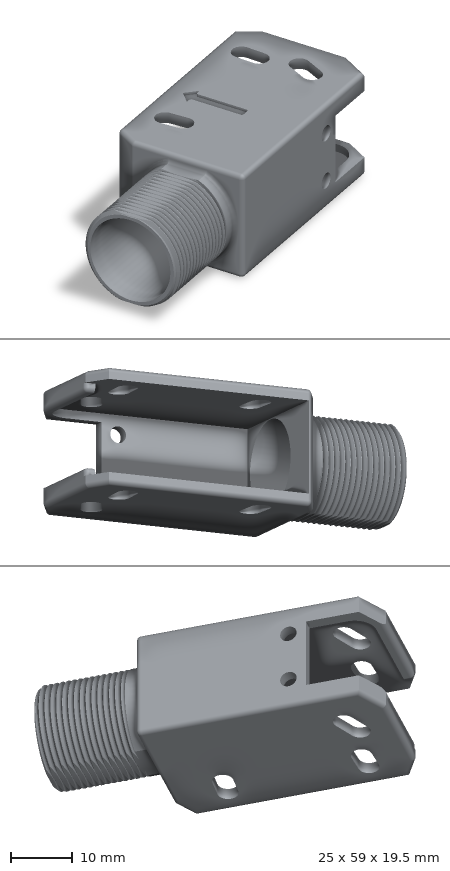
import cadquery as cq
import math


HOUSING_WIDTH = 25.0
HOUSING_LENGTH = 41.0
HOUSING_HEIGHT = 19.5
PLATE_THICKNESS = 2.0
BACK_WALL = 2.0
END_WALL = 1.8
FRONT_WALL = 2.7
EDGE_RADIUS = 0.8
LIP_INSET = 0.1
LIP_RADIUS = 0.75
INNER_CORNER_RADIUS = 3.7
BORE_TO_OPEN_SIDE = 14.5

CORNER_SLOPE = math.tan(math.radians(30))
OPEN_CORNER_WIDTH = 4.0
BACK_CORNER_WIDTH = 5.2

X_OPEN = -BORE_TO_OPEN_SIDE
X_BACK = X_OPEN + HOUSING_WIDTH
X_CORNER = X_OPEN + OPEN_CORNER_WIDTH
X_LIP_START = X_CORNER + LIP_INSET
HALF_HEIGHT = HOUSING_HEIGHT / 2
INNER_HEIGHT = HOUSING_HEIGHT - 2 * PLATE_THICKNESS

NOTCH_HEIGHT = 12.6
NOTCH_DEPTH = 12.0

SCREW_HOLE_DIAMETER = 2.8
SCREW_HOLE_SPACING = 9.0
SCREW_HOLE_Y = HOUSING_LENGTH - 15.0

SLOT_WIDTH = 3.5
SLOTS = [
    ((4.6, 33.2), (8.0, 33.05)),
    ((14.55, 34.9), (18.0, 33.2)),
    ((4.6, 9.2), (8.0, 9.4)),
]

ARROW_TIP_X = X_OPEN + 3.05
ARROW_Y = 17.35
ARROW_LENGTH = 11.9
ARROW_HEAD = 2.0
ARROW_SHAFT_HALF_WIDTH = 0.93
ARROW_CORNER_RADIUS = 0.35
ARROW_DEPTH = 0.5

STEM_LENGTH = 18.0
STEM_DIAMETER = 17.7
STEM_FLAT_WIDTH = 16.25
STEM_ROOT_RADIUS = 0.65
TIP_CHAMFER = 0.6
BORE_DIAMETER = 15.2
NECK_LENGTH = 2.4
THREAD_PITCH = 1.0
THREAD_DEPTH = 0.85
CREST_WIDTH = 0.1

OVERRUN = 1.0
SELECTION_MARGIN = 0.1
CREST_CLEARANCE = 0.01


def make_housing_block():
    """Solid housing with sloped corners; the outer edges are rounded."""
    open_rise = OPEN_CORNER_WIDTH * CORNER_SLOPE
    back_rise = BACK_CORNER_WIDTH * CORNER_SLOPE
    outline = [
        (X_CORNER, 0),
        (X_BACK, 0),
        (X_BACK, HOUSING_LENGTH - back_rise),
        (X_BACK - BACK_CORNER_WIDTH, HOUSING_LENGTH),
        (X_CORNER, HOUSING_LENGTH),
        (X_OPEN, HOUSING_LENGTH - open_rise),
        (X_OPEN, open_rise),
    ]
    block = (
        cq.Workplane("XY", origin=(0, 0, -HALF_HEIGHT))
        .polyline(outline)
        .close()
        .extrude(HOUSING_HEIGHT)
    )
    front_corners = cq.selectors.BoxSelector(
        (X_OPEN - OVERRUN, -OVERRUN, -HALF_HEIGHT),
        (X_BACK + OVERRUN, open_rise + OVERRUN, HALF_HEIGHT),
    )
    block = block.edges("|Z").edges(front_corners).fillet(EDGE_RADIUS)
    return block.faces("<Z or >Z").edges().fillet(EDGE_RADIUS)


def cut_channel(body):
    """Hollow between the plates, leaving front, back and end walls."""
    x_inner = X_BACK - BACK_WALL
    y_inner = HOUSING_LENGTH - END_WALL
    hollow = (
        cq.Workplane("XY", origin=(0, 0, -INNER_HEIGHT / 2))
        .moveTo(X_OPEN - OVERRUN, FRONT_WALL)
        .lineTo(x_inner, FRONT_WALL)
        .lineTo(x_inner, y_inner)
        .lineTo(X_LIP_START, y_inner)
        .lineTo(X_LIP_START, HOUSING_LENGTH + OVERRUN)
        .lineTo(X_OPEN - OVERRUN, HOUSING_LENGTH + OVERRUN)
        .close()
        .extrude(INNER_HEIGHT)
    )
    corner = cq.selectors.NearestToPointSelector((x_inner, y_inner, 0))
    return body.cut(hollow.edges(corner).fillet(INNER_CORNER_RADIUS))


def cut_notch(body):
    """Rectangular notch through the end wall that continues into the back wall."""
    notch = cq.Workplane("XY").box(2 * HOUSING_WIDTH, 2 * NOTCH_DEPTH, NOTCH_HEIGHT)
    return body.cut(notch.translate((X_BACK, HOUSING_LENGTH, 0)))


def round_lips(body):
    """Round the outer, end and corner edges of the two lips left on the end wall by the notch."""
    lip_middle_x = (X_LIP_START + X_BACK - BACK_CORNER_WIDTH) / 2
    lip_edge_z = NOTCH_HEIGHT / 2
    lip_middle_z = (lip_edge_z + INNER_HEIGHT / 2) / 2
    near = cq.selectors.NearestToPointSelector
    for side in (-1, 1):
        outer_edge = near((lip_middle_x, HOUSING_LENGTH, side * lip_edge_z))
        end_edge = near((X_LIP_START, HOUSING_LENGTH - END_WALL / 2, side * lip_edge_z))
        corner_edge = near((X_LIP_START, HOUSING_LENGTH, side * lip_middle_z))
        lip_edges = cq.selectors.SumSelector(cq.selectors.SumSelector(outer_edge, end_edge), corner_edge)
        body = body.edges(lip_edges).fillet(LIP_RADIUS)
    return body


def cut_screw_holes(body):
    """Two round holes through the back wall."""
    holes = (
        cq.Workplane("YZ", origin=(X_BACK - 2 * BACK_WALL, 0, 0))
        .pushPoints([(SCREW_HOLE_Y, side * SCREW_HOLE_SPACING / 2) for side in (-1, 1)])
        .circle(SCREW_HOLE_DIAMETER / 2)
        .extrude(3 * BACK_WALL)
    )
    return body.cut(holes)


def cut_slots(body):
    """Round-ended slots through both plates."""
    for (start_x, start_y), (end_x, end_y) in SLOTS:
        run = end_x - start_x
        rise = end_y - start_y
        slot = (
            cq.Workplane("XY", origin=(0, 0, -HALF_HEIGHT))
            .center(X_OPEN + (start_x + end_x) / 2, (start_y + end_y) / 2)
            .slot2D(math.hypot(run, rise) + SLOT_WIDTH, SLOT_WIDTH, math.degrees(math.atan2(rise, run)))
            .extrude(HOUSING_HEIGHT)
        )
        body = body.cut(slot)
    return body


def cut_arrow(body):
    """Shallow arrow in the top plate, pointing to the open side."""
    head_x = ARROW_TIP_X + ARROW_HEAD
    tail_x = ARROW_TIP_X + ARROW_LENGTH
    outline = [
        (ARROW_TIP_X, ARROW_Y),
        (head_x, ARROW_Y + ARROW_HEAD),
        (head_x, ARROW_Y + ARROW_SHAFT_HALF_WIDTH),
        (tail_x, ARROW_Y + ARROW_SHAFT_HALF_WIDTH),
        (tail_x, ARROW_Y - ARROW_SHAFT_HALF_WIDTH),
        (head_x, ARROW_Y - ARROW_SHAFT_HALF_WIDTH),
        (head_x, ARROW_Y - ARROW_HEAD),
    ]
    arrow = (
        cq.Workplane("XY", origin=(0, 0, HALF_HEIGHT - ARROW_DEPTH))
        .polyline(outline)
        .close()
        .extrude(2 * ARROW_DEPTH)
    )
    reach = ARROW_SHAFT_HALF_WIDTH + SELECTION_MARGIN
    shaft_corners = cq.selectors.BoxSelector(
        (head_x - SELECTION_MARGIN, ARROW_Y - reach, 0),
        (tail_x + SELECTION_MARGIN, ARROW_Y + reach, HOUSING_HEIGHT),
    )
    arrow = arrow.edges("|Z").edges(shaft_corners).fillet(ARROW_CORNER_RADIUS)
    return body.cut(arrow)


def helical_strip(inner, outer, turn):
    """One full turn of the ruled surface between two helices, each given as (radius, axial start)."""
    rails = []
    for radius, start in (inner, outer):
        helix = cq.Wire.makeHelix(THREAD_PITCH, THREAD_PITCH, radius)
        rails.append(helix.translate(cq.Vector(0, 0, start + turn * THREAD_PITCH)).Edges()[0])
    return cq.Face.makeRuledSurface(*rails)


def make_thread_coil():
    """Threaded tube as a right-hand coil; its hole is narrower than the bore and both ends run over."""
    crest_radius = STEM_DIAMETER / 2
    root_radius = crest_radius - THREAD_DEPTH
    core_radius = BORE_DIAMETER / 2 - THREAD_DEPTH
    first_root = math.floor(NECK_LENGTH) - THREAD_PITCH - THREAD_PITCH / 2
    half_crest = CREST_WIDTH / 2
    profile = [
        (core_radius, first_root),
        (root_radius, first_root),
        (crest_radius, first_root + THREAD_PITCH / 2 - half_crest),
        (crest_radius, first_root + THREAD_PITCH / 2 + half_crest),
        (root_radius, first_root + THREAD_PITCH),
        (core_radius, first_root + THREAD_PITCH),
    ]
    turns = math.ceil((STEM_LENGTH - first_root) / THREAD_PITCH) + 1
    faces = [helical_strip(profile[0], profile[1], 0), helical_strip(profile[-2], profile[-1], turns - 1)]
    for turn in range(turns):
        for start, end in zip(profile[1:-2], profile[2:-1]):
            faces.append(helical_strip(start, end, turn))
        faces.append(helical_strip(profile[-1], profile[0], turn))
    for height in (0, turns * THREAD_PITCH):
        corners = [cq.Vector(radius, 0, axial + height) for radius, axial in profile]
        faces.append(cq.Face.makeFromWires(cq.Wire.makePolygon(corners, close=True)))
    coil = cq.Solid.makeSolid(cq.Shell.makeShell(faces))
    return cq.Workplane(obj=coil).rotate((0, 0, 0), (1, 0, 0), 90)


def make_flats():
    """Slab whose top and bottom faces are the two flats of the stem."""
    return cq.Workplane("XY").box(2 * STEM_DIAMETER, 4 * STEM_LENGTH, STEM_FLAT_WIDTH)


def add_neck(body):
    """Plain root of the stem, blended into the front wall by a concave fillet."""
    neck = cq.Workplane("XZ").circle(STEM_DIAMETER / 2).extrude(NECK_LENGTH)
    body = body.union(neck.intersect(make_flats()))
    reach = STEM_DIAMETER / 2 + SELECTION_MARGIN
    root_edges = cq.selectors.BoxSelector(
        (-reach, -SELECTION_MARGIN, -reach), (reach, SELECTION_MARGIN, reach)
    )
    return body.edges(root_edges).fillet(STEM_ROOT_RADIUS)


def cut_bore(body):
    """Round bore through the stem and the front wall."""
    bore = cq.Workplane("XZ", origin=(0, 2 * FRONT_WALL, 0)).circle(BORE_DIAMETER / 2)
    return body.cut(bore.extrude(2 * STEM_LENGTH))


def add_threaded_stem(body):
    """Threaded length beyond the neck, with the two flats and a chamfered tip."""
    sleeve = cq.Workplane("XZ", origin=(0, -NECK_LENGTH, 0)).circle(STEM_DIAMETER / 2 + CREST_CLEARANCE)
    sleeve = sleeve.extrude(STEM_LENGTH - NECK_LENGTH).faces("<Y").chamfer(TIP_CHAMFER)
    sleeve = cut_bore(sleeve.intersect(make_flats()))
    return body.union(sleeve.intersect(make_thread_coil()))


result = make_housing_block()
result = cut_channel(result)
result = cut_notch(result)
result = round_lips(result)
result = cut_screw_holes(result)
result = cut_slots(result)
result = cut_arrow(result)
result = add_neck(result)
result = cut_bore(result)
result = add_threaded_stem(result)